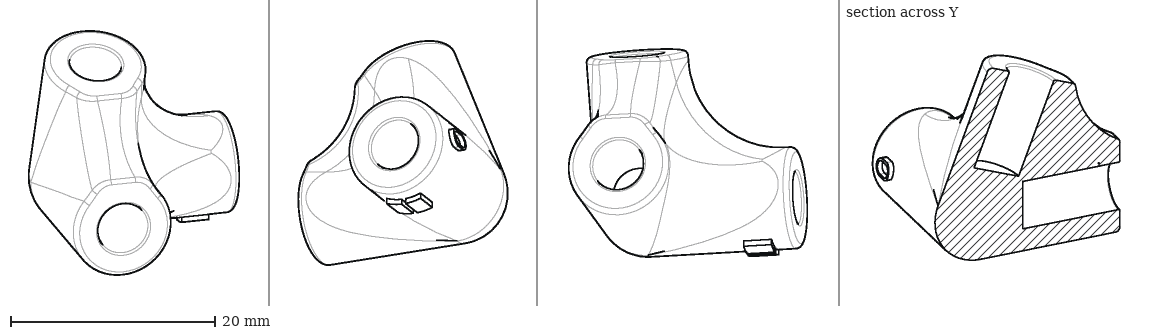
import cadquery as cq
import math

corner_size = 20.0
arm_diameter = 10.0
arm_radius = arm_diameter / 2
arm_length = corner_size - arm_radius
tilt_angle = math.radians(21.5)

blend_radius = 9.0
scoop_distance = 23.17
scoop_rounding = 2.11
end_rounding = 0.5
overrun = 2 * arm_length

socket_diameter = 5.12
socket_depth = 10.46
socket_floor = arm_length - socket_depth
mouth_rounding = 0.21

mark_height = 0.5
mark_position = 11.3
mark_length = 2.8
ring_width = 1.85
ring_rim = 0.25
ring_lift = 0.9
pad_width = 1.6
pad_spacing = 2.03

X_AXIS = cq.Vector(1, 0, 0)
Y_AXIS = cq.Vector(0, 1, 0)
ARM_DIRECTIONS = [
    X_AXIS,
    Y_AXIS,
    cq.Vector(math.sin(tilt_angle), 0, math.cos(tilt_angle)),
]


def rod(radius, direction, start, end):
    """Cylinder about an arm axis between two distances from the ball centre."""
    solid = cq.Solid.makeCylinder(radius, end - start, direction * start, direction)
    return cq.Workplane(obj=solid)


def end_face(body, direction):
    """Flat face at the far end of one arm."""
    return body.faces(cq.selectors.DirectionMinMaxSelector(direction))


def is_arm_seam(edge):
    """True for the edges along which two arms cut into each other."""
    return edge.geomType() == "ELLIPSE"


def blended_arms():
    """Ball with over-long arms, all seams between the arms filled by the blend radius."""
    body = cq.Workplane("XY").sphere(arm_radius)
    for direction in ARM_DIRECTIONS:
        body = body.union(rod(arm_radius, direction, 0, arm_length + overrun))
    solid = body.solids().val()
    seams = [edge for edge in solid.Edges() if is_arm_seam(edge)]
    return cq.Workplane(obj=solid.fillet(blend_radius, seams))


def trim_arms(body):
    """Cut every arm to length, square to its axis."""
    for direction in ARM_DIRECTIONS:
        body = body.cut(rod(2 * overrun, direction, arm_length, arm_length + 2 * overrun))
    return body


def scoop_valley(body):
    """Hollow the web between the X arm and the tilted arm with a round cut along Y."""
    bisector_angle = (math.pi / 2 - tilt_angle) / 2
    bisector = cq.Vector(math.cos(bisector_angle), 0, math.sin(bisector_angle))
    start = bisector * scoop_distance - Y_AXIS * arm_diameter
    scoop = cq.Solid.makeCylinder(blend_radius, 2 * arm_diameter, start, Y_AXIS)
    solid = body.cut(cq.Workplane(obj=scoop)).solids().val()
    middle = bisector * (scoop_distance - blend_radius)
    marker = cq.Vertex.makeVertex(*middle.toTuple())
    floor = min(solid.Faces(), key=lambda face: face.distance(marker))
    rims = [edge for edge in floor.Edges() if edge.geomType() != "LINE"]
    return cq.Workplane(obj=solid.fillet(scoop_rounding, rims))


def round_ends(body):
    """Round the outline of every arm end."""
    for direction in ARM_DIRECTIONS:
        body = end_face(body, direction).edges().fillet(end_rounding)
    return body


def sockets(body):
    """Blind round hole up each arm, with a softened mouth."""
    mouth = cq.selectors.RadiusNthSelector(0)
    for direction in ARM_DIRECTIONS:
        body = body.cut(rod(socket_diameter / 2, direction, socket_floor, arm_length))
        body = end_face(body, direction).edges(mouth).fillet(mouth_rounding)
    return body


def marks_on_arm():
    """Raised marks on the Y arm: an oval ring facing -X and two pads facing -Z."""
    reach = arm_radius + mark_height
    outline = cq.Workplane("YZ", origin=(-reach, mark_position, ring_lift))
    ring = outline.slot2D(mark_length, ring_width).extrude(arm_radius)
    opening = outline.slot2D(mark_length - 2 * ring_rim, ring_width - 2 * ring_rim).extrude(arm_radius)
    ring = ring.cut(opening)
    underside = cq.Workplane("XY", origin=(0, mark_position, -reach))
    pads = underside.pushPoints([(-pad_spacing / 2, 0), (pad_spacing / 2, 0)])
    pads = pads.rect(pad_width, mark_length).extrude(arm_radius)
    sleeve = rod(reach, Y_AXIS, socket_floor, arm_length)
    core = rod(arm_radius - mark_height, Y_AXIS, socket_floor, arm_length)
    return ring.union(pads).intersect(sleeve).cut(core)


body = blended_arms()
body = trim_arms(body)
body = scoop_valley(body)
body = round_ends(body)
body = sockets(body)
body = body.union(marks_on_arm())
result = cq.Workplane(obj=body.solids().val())